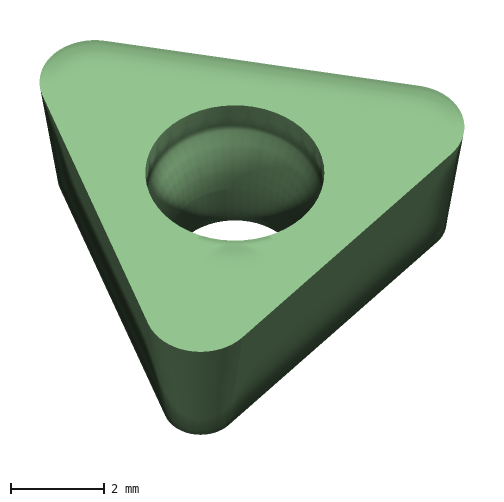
import cadquery as cq
import math

SIDE_COUNT = 3
SIDE_TURN = 2 * math.pi / SIDE_COUNT
THICKNESS = 3.17
INSCRIBED_DIAMETER = 6.35
CORNER_RADIUS = 1.1906
CLEARANCE_ANGLE = 7.0

HOLE_RADIUS = 2.8 / 2
RECESS_RADIUS = 3.85 / 2
RECESS_DEPTH = 0.6
RECESS_TAPER = math.radians(3.5)
SEAT_RADIUS = 2.45
BLEND_RADIUS = 0.25


def turned(x, y, angle):
    """Point (x, y) turned about the Z axis by an angle in radians."""
    return (
        x * math.cos(angle) - y * math.sin(angle),
        x * math.sin(angle) + y * math.cos(angle),
    )


def make_body():
    """Triangle with round corners, one side facing -Y, tapering downward."""
    inradius = INSCRIBED_DIAMETER / 2
    corner_center_distance = 2 * (inradius - CORNER_RADIUS)
    straight_half = corner_center_distance * math.sin(math.pi / SIDE_COUNT)
    corner_tip = corner_center_distance + CORNER_RADIUS

    outline = cq.Workplane("XY").moveTo(-straight_half, -inradius)
    for side in range(SIDE_COUNT):
        angle = side * SIDE_TURN
        side_end = turned(straight_half, -inradius, angle)
        tip = turned(0, corner_tip, angle - SIDE_TURN)
        next_side_start = turned(-straight_half, -inradius, angle + SIDE_TURN)
        outline = outline.lineTo(*side_end).threePointArc(tip, next_side_start)

    body = outline.close().extrude(-THICKNESS, taper=CLEARANCE_ANGLE)
    return body.translate((0, 0, THICKNESS))


def make_hole():
    """Revolved cutter: conical recess wall, concave blend, convex seat, through hole."""
    wall_end_r = RECESS_RADIUS - RECESS_DEPTH * math.tan(RECESS_TAPER)
    wall_end_z = THICKNESS - RECESS_DEPTH

    arc_sum = SEAT_RADIUS + BLEND_RADIUS
    blend_center_r = wall_end_r - BLEND_RADIUS * math.cos(RECESS_TAPER)
    blend_center_z = wall_end_z + BLEND_RADIUS * math.sin(RECESS_TAPER)
    seat_center_r = HOLE_RADIUS + SEAT_RADIUS
    meeting_angle = math.acos((seat_center_r - blend_center_r) / arc_sum)
    seat_center_z = blend_center_z - arc_sum * math.sin(meeting_angle)

    def blend_point(angle):
        return (
            blend_center_r + BLEND_RADIUS * math.cos(angle),
            blend_center_z - BLEND_RADIUS * math.sin(angle),
        )

    def seat_point(angle):
        return (
            seat_center_r - SEAT_RADIUS * math.cos(angle),
            seat_center_z + SEAT_RADIUS * math.sin(angle),
        )

    return (
        cq.Workplane("XZ")
        .moveTo(0, THICKNESS)
        .lineTo(RECESS_RADIUS, THICKNESS)
        .lineTo(wall_end_r, wall_end_z)
        .threePointArc(blend_point((RECESS_TAPER + meeting_angle) / 2), blend_point(meeting_angle))
        .threePointArc(seat_point(meeting_angle / 2), seat_point(0))
        .lineTo(HOLE_RADIUS, 0)
        .lineTo(0, 0)
        .close()
        .revolve(360, (0, 0, 0), (0, 1, 0))
    )


result = make_body().cut(make_hole())